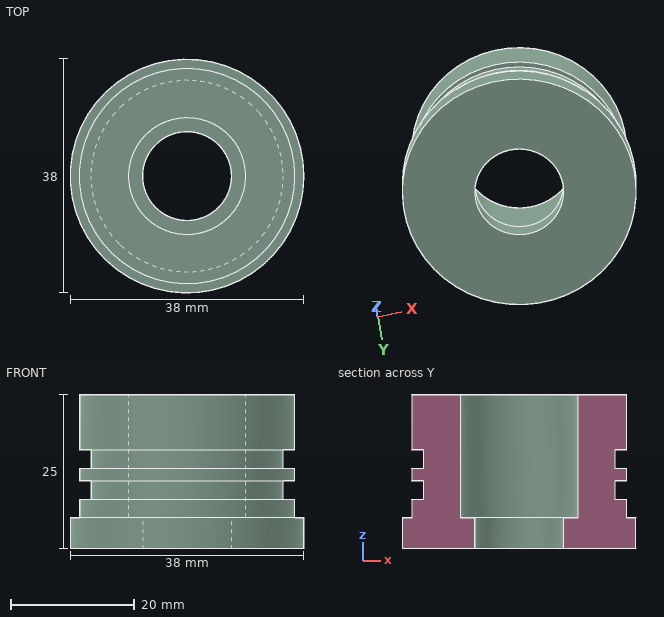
import cadquery as cq

flange_diameter = 38.0
body_diameter = 35.0
groove_diameter = 31.2
bore_diameter = 19.0
lip_hole_diameter = 14.4

total_height = 25.0
flange_height = 5.0
lower_land_height = 2.95
groove_width = 3.0
middle_land_height = 2.05
lip_height = flange_height

lower_groove_base = flange_height + lower_land_height
upper_groove_base = lower_groove_base + groove_width + middle_land_height


def cylinder(diameter, base, height):
    """Upright cylinder on the Z axis, starting at the given base height."""
    return cq.Workplane("XY").workplane(offset=base).circle(diameter / 2).extrude(height)


def ring_groove(base):
    """Ring of material to cut from the body for one seal groove."""
    outer = cylinder(body_diameter, base, groove_width)
    return outer.cut(cylinder(groove_diameter, base, groove_width))


result = cylinder(body_diameter, 0, total_height)
result = result.union(cylinder(flange_diameter, 0, flange_height))

for groove_base in (lower_groove_base, upper_groove_base):
    result = result.cut(ring_groove(groove_base))

result = result.cut(cylinder(lip_hole_diameter, 0, total_height))
result = result.cut(cylinder(bore_diameter, lip_height, total_height - lip_height))